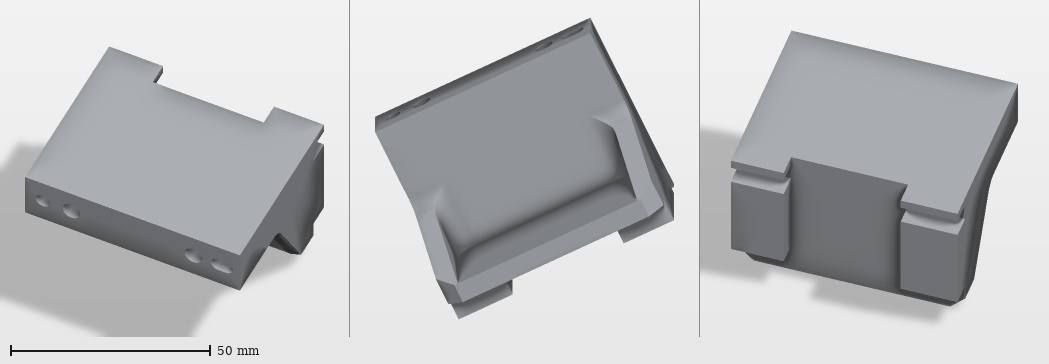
import cadquery as cq
import math

width = 60.0
depth = 48.5
height = 40.0

slab_thickness = 13.45
back_step = 5.95
tip_from_back = 10.9
rib_angle = 60.0
inner_fillet = 5.0
groove_top_gap = 2.5
groove_height = 5.0
pad_bottom = 8.5
bottom_chamfer = 4.0

rib_width = 5.0
recess_corner_radius = 5.0

pad_gap_start = 15.05
pad_gap_width = 30.95

hole_z = height - 6.55
pin_x = 5.0
pin_diameter = 4.0
pin_depth = 10.0
slot_length = 6.1
screw_x = 12.95
screw_diameter = 4.9
screw_depth = 15.0
drill_point_angle = 118.0

slab_bottom = height - slab_thickness
step_y = depth - back_step
tip_y = depth - tip_from_back
groove_top = height - groove_top_gap
groove_bottom = groove_top - groove_height


def make_body():
    """Extrude the side profile across the width and finish its edges."""
    rib_root_y = tip_y - slab_bottom / math.tan(math.radians(rib_angle))
    profile = [
        (0, height),
        (0, slab_bottom),
        (rib_root_y, slab_bottom),
        (tip_y, 0),
        (step_y, 0),
        (step_y, pad_bottom),
        (depth, pad_bottom),
        (depth, groove_bottom),
        (step_y, groove_bottom),
        (step_y, groove_top),
        (depth, groove_top),
        (depth, height),
    ]
    body = cq.Workplane("YZ").polyline(profile).close().extrude(width)
    root_edge = cq.selectors.NearestToPointSelector((width / 2, rib_root_y, slab_bottom))
    body = body.edges(root_edge).fillet(inner_fillet)
    for side_x in (0, width):
        direction = 1 if side_x == 0 else -1
        corner = [
            (side_x, 0),
            (side_x + direction * bottom_chamfer, 0),
            (side_x, bottom_chamfer),
        ]
        body = body.cut(cq.Workplane("XZ").polyline(corner).close().extrude(-depth))
    return body


def make_recess():
    """Opening between the ribs, with rounded upper corners and a wall at the rib tip."""
    return (
        cq.Workplane("XY")
        .box(width - 2 * rib_width, tip_y, slab_bottom, centered=False)
        .translate((rib_width, 0, 0))
        .edges("|Y and >Z")
        .fillet(recess_corner_radius)
    )


def make_pad_gap():
    """Opening through the full height that splits the back into two pads."""
    return (
        cq.Workplane("XY")
        .box(pad_gap_width, back_step, height, centered=False)
        .translate((pad_gap_start, step_y, 0))
    )


def make_drilled_hole(x, diameter, straight_depth):
    """Blind hole from the front face, ending in a drill point."""
    radius = diameter / 2
    point_depth = radius / math.tan(math.radians(drill_point_angle / 2))
    half_section = [
        (0, 0),
        (radius, 0),
        (radius, straight_depth),
        (0, straight_depth + point_depth),
    ]
    hole = cq.Workplane("XY").polyline(half_section).close().revolve(360, (0, 0), (0, 1))
    return hole.translate((x, 0, hole_z))


def make_slot():
    """Flat-bottomed locating slot opposite the pin hole."""
    return (
        cq.Workplane("XZ")
        .center(width - pin_x, hole_z)
        .slot2D(slot_length, pin_diameter)
        .extrude(-pin_depth)
    )


result = make_body().cut(make_recess()).cut(make_pad_gap()).cut(make_slot())
result = result.cut(make_drilled_hole(pin_x, pin_diameter, pin_depth))
for hole_x in (screw_x, width - screw_x):
    result = result.cut(make_drilled_hole(hole_x, screw_diameter, screw_depth))